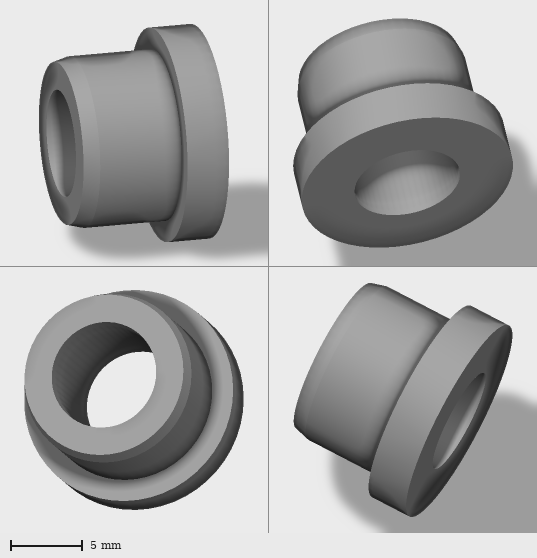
import cadquery as cq
import math

flange_diameter = 15.0
flange_thickness = 3.0
sleeve_diameter = 12.0
bore_diameter = 7.5
total_length = 10.0

taper_depth = 0.3
taper_angle = 15.0
taper_length = taper_depth / math.tan(math.radians(taper_angle))

flange_radius = flange_diameter / 2
sleeve_radius = sleeve_diameter / 2
bore_radius = bore_diameter / 2
shoulder_y = total_length - flange_thickness

half_section = (
    cq.Workplane("XY")
    .moveTo(bore_radius, 0)
    .lineTo(sleeve_radius - taper_depth, 0)
    .lineTo(sleeve_radius, taper_length)
    .lineTo(sleeve_radius, shoulder_y)
    .lineTo(flange_radius, shoulder_y)
    .lineTo(flange_radius, total_length)
    .lineTo(bore_radius, total_length)
    .close()
)

result = half_section.revolve(360, (0, 0, 0), (0, 1, 0))